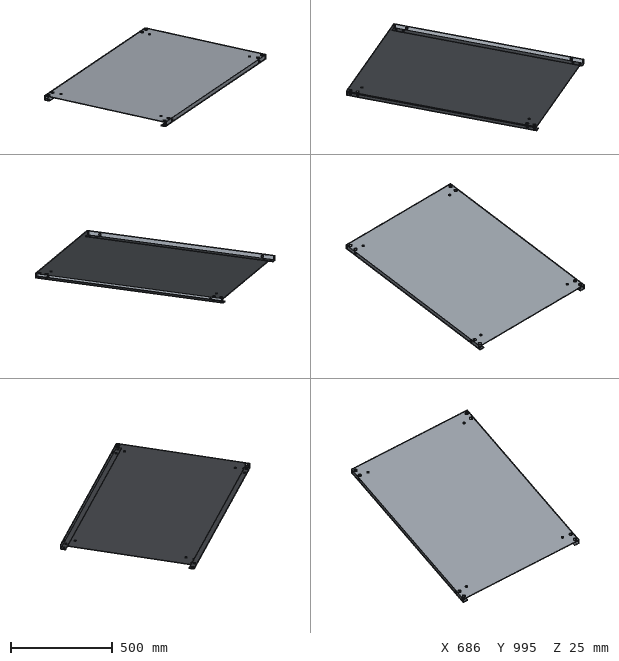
import cadquery as cq

width = 686.0
length = 995.0
height = 25.0
sheet = 2.0
lip = 27.0
bend_radius = 2.5

corner_hole_x = 328.0
corner_hole_rows = (482.0, 444.0)
face_hole_diameter = 15.0
lip_hole_diameter = 10.0

inner_hole_x = 284.0
inner_hole_y = 438.0
inner_hole_diameter = 10.0

flange_hole_y = 431.0
flange_hole_z = -1.0
flange_hole_diameter = 12.0

slit_width = 4.0
slit_end_gap = 4.0

half_width = width / 2
half_length = length / 2
half_height = height / 2


def mirrored(x, y):
    """Four points mirrored about both centre lines."""
    return [(side * x, end * y) for side in (-1, 1) for end in (-1, 1)]


def folded_panel():
    """Flat sheet with a downward flange and an inward lip along both long sides."""
    inner_x = half_width - sheet
    lip_edge_x = half_width - lip
    section = (
        cq.Workplane("XZ")
        .moveTo(0, half_height)
        .lineTo(half_width, half_height)
        .lineTo(half_width, -half_height)
        .lineTo(lip_edge_x, -half_height)
        .lineTo(lip_edge_x, sheet - half_height)
        .lineTo(inner_x, sheet - half_height)
        .lineTo(inner_x, half_height - sheet)
        .lineTo(0, half_height - sheet)
        .mirrorY()
    )
    panel = section.extrude(half_length, both=True)
    return panel.edges("|Y").edges("<X or >X").fillet(bend_radius)


def upright_pins(points, diameter, direction):
    """Cylinders from mid height, upward (1) through the face or downward (-1) through the lips."""
    return cq.Workplane("XY").pushPoints(points).circle(diameter / 2).extrude(direction * height)


def flange_pins():
    """Cylinders along X that cut the holes in both side flanges."""
    centres = [(end * flange_hole_y, flange_hole_z) for end in (-1, 1)]
    return cq.Workplane("YZ").pushPoints(centres).circle(flange_hole_diameter / 2).extrude(width, both=True)


def slit_blocks():
    """Blocks that cut the slits through the flange, between its face and lip bends."""
    slit_y = half_length - slit_end_gap - slit_width / 2
    slit_height = height - 2 * bend_radius
    return (
        cq.Workplane("XY")
        .pushPoints(mirrored(half_width, slit_y))
        .box(2 * bend_radius, slit_width, slit_height)
    )


corner_points = []
for row_y in corner_hole_rows:
    corner_points += mirrored(corner_hole_x, row_y)
inner_points = mirrored(inner_hole_x, inner_hole_y)

result = (
    folded_panel()
    .cut(upright_pins(corner_points, face_hole_diameter, 1))
    .cut(upright_pins(corner_points, lip_hole_diameter, -1))
    .cut(upright_pins(inner_points, inner_hole_diameter, 1))
    .cut(flange_pins())
    .cut(slit_blocks())
)